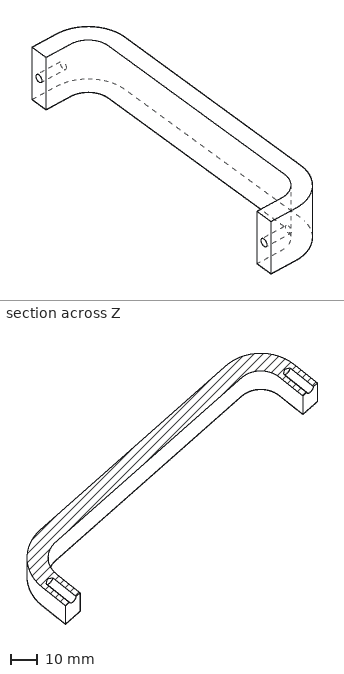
import cadquery as cq
import math

length = 136.0
depth = 30.0
height = 25.0

thickness = 8.0
inner_radius = 9.9
outer_radius = inner_radius + thickness

hole_diameter = 3.4
hole_depth = 12.0
drill_point_angle = 118.0
hole_spacing = length - thickness


def rounded_block(width, block_depth, radius):
    """Block starting at Y = 0 with its two rear vertical edges rounded."""
    block = cq.Workplane("XY").box(width, block_depth, height, centered=(True, False, True))
    return block.edges("|Z and >Y").fillet(radius)


outer_block = rounded_block(length, depth, outer_radius)
grip_space = rounded_block(length - 2 * thickness, depth - thickness, inner_radius)
handle = outer_block.cut(grip_space)

hole_radius = hole_diameter / 2
point_length = hole_radius / math.tan(math.radians(drill_point_angle / 2))
drill = (
    cq.Workplane("XY")
    .lineTo(hole_radius, 0)
    .lineTo(hole_radius, hole_depth)
    .lineTo(0, hole_depth + point_length)
    .close()
    .revolve(360, (0, 0, 0), (0, 1, 0))
)

for hole_x in (-hole_spacing / 2, hole_spacing / 2):
    handle = handle.cut(drill.translate((hole_x, 0, 0)))

result = handle